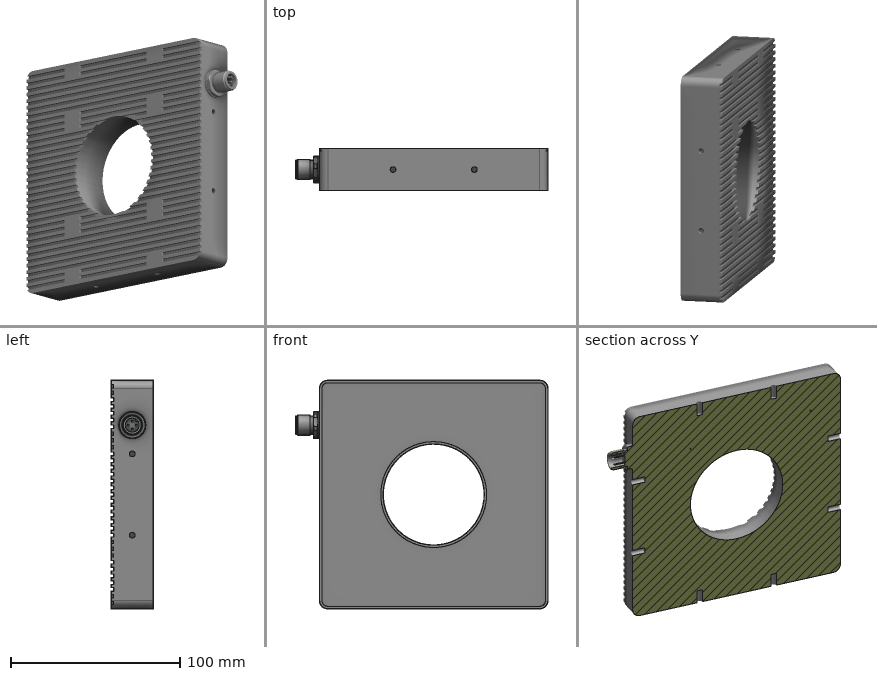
import cadquery as cq
import math

SIDE = 135.0
THICKNESS = 25.0
CORNER_RADIUS = 5.0
BORE_DIAMETER = 59.5

RIM_WIDTH = 1.5
PANEL_RECESS = 0.5

GROOVE_PITCH = 4.0
GROOVE_WIDTH = 2.0
GROOVE_DEPTH = 1.5
GROOVE_COUNT = 33

PAD_OFFSET = 32.0
PAD_SIZE = 12.0
EDGE_PAD_HEIGHT = 9.5

SIDE_HOLE_DIAMETER = 3.3
SIDE_HOLE_DEPTH = 8.0
SIDE_HOLE_SPACING = 48.0

CONNECTOR_Z = 41.0
CONNECTOR_LENGTH = 14.1
WASHER_DIAMETER = 16.0
WASHER_END = 0.9
NUT_END = 3.5
NUT_ACROSS_FLATS = 15.0
NUT_CHAMFER = 0.4
NUT_CORNER_ANGLE = -15.0
NECK_DIAMETER = 11.0
NECK_END = 5.6
THREAD_DIAMETER = 12.0
THREAD_END = CONNECTOR_LENGTH - 1.0
THREAD_CHAMFER = (THREAD_DIAMETER - NECK_DIAMETER) / 2

SOCKET_DIAMETER = 8.2
SOCKET_DEPTH = 9.0
TIP_CHAMFER = 0.2
PIN_COUNT = 4
PIN_DIAMETER = 1.0
PIN_LENGTH = 7.0
PIN_CIRCLE_RADIUS = 2.35
KEY_DIAMETER = 1.8
KEY_ANGLE = 45.0


def square_plate(side, corner_radius, y_start, depth):
    """Rounded square plate from y_start towards +Y."""
    plate = cq.Workplane("XZ", origin=(0, y_start, 0)).rect(side, side).extrude(-depth)
    return plate.edges("|Y").fillet(corner_radius)


def y_cylinder(diameter, y_start, depth):
    """Cylinder on the bore axis from y_start towards +Y."""
    return cq.Workplane("XZ", origin=(0, y_start, 0)).circle(diameter / 2).extrude(-depth)


def front_recess():
    """Shallow sheet cut from the front, leaving a rim at the outside and round the bore."""
    front = -THICKNESS / 2
    sheet = square_plate(SIDE - 2 * RIM_WIDTH, CORNER_RADIUS - RIM_WIDTH, front, PANEL_RECESS)
    return sheet.cut(y_cylinder(BORE_DIAMETER + 2 * RIM_WIDTH, front, PANEL_RECESS))


def back_grooves():
    """All cooling grooves, less the pads that interrupt them."""
    groove_y = (THICKNESS - GROOVE_DEPTH) / 2
    grooves = (
        cq.Workplane("XZ", origin=(0, groove_y, 0))
        .rarray(1, GROOVE_PITCH, 1, GROOVE_COUNT)
        .rect(SIDE, GROOVE_WIDTH)
        .extrude(GROOVE_DEPTH / 2, both=True)
    )
    edge_pad_z = (SIDE - EDGE_PAD_HEIGHT) / 2
    for x in (-PAD_OFFSET, PAD_OFFSET):
        for z_sign in (-1, 1):
            inner_pad = cq.Workplane().box(PAD_SIZE, GROOVE_DEPTH, PAD_SIZE)
            edge_pad = cq.Workplane().box(PAD_SIZE, GROOVE_DEPTH, EDGE_PAD_HEIGHT)
            grooves = grooves.cut(inner_pad.translate((x, groove_y, z_sign * PAD_OFFSET)))
            grooves = grooves.cut(edge_pad.translate((x, groove_y, z_sign * edge_pad_z)))
    return grooves


def side_holes():
    """Two blind holes in each of the four narrow sides."""
    pair = (
        cq.Workplane("XY", origin=(0, 0, SIDE / 2))
        .rarray(SIDE_HOLE_SPACING, 1, 2, 1)
        .circle(SIDE_HOLE_DIAMETER / 2)
        .extrude(-SIDE_HOLE_DEPTH)
    )
    holes = pair
    for angle in (90, 180, 270):
        holes = holes.union(pair.rotate((0, 0, 0), (0, 1, 0), angle))
    return holes


def housing():
    """Plate with bore, front recess, back grooves and side holes."""
    body = square_plate(SIDE, CORNER_RADIUS, -THICKNESS / 2, THICKNESS)
    body = body.cut(y_cylinder(BORE_DIAMETER, -THICKNESS / 2, THICKNESS))
    body = body.cut(front_recess())
    body = body.cut(back_grooves())
    return body.cut(side_holes())


def connector_plane(station):
    """Plane across the connector axis; local x points to -Y, the normal points outwards (-X)."""
    origin = (-SIDE / 2 - station, 0, CONNECTOR_Z)
    return cq.Workplane(cq.Plane(origin=origin, xDir=(0, -1, 0), normal=(-1, 0, 0)))


def disc(diameter, start, end):
    """Cylinder on the connector axis between two stations."""
    return connector_plane(start).circle(diameter / 2).extrude(end - start)


def lock_nut():
    """Hexagon nut whose corners are turned down to the washer diameter."""
    across_corners = NUT_ACROSS_FLATS / math.cos(math.pi / 6)
    thickness = NUT_END - WASHER_END
    hexagon = (
        connector_plane(WASHER_END)
        .transformed(rotate=(0, 0, NUT_CORNER_ANGLE))
        .polygon(6, across_corners)
        .extrude(thickness)
    )
    blank = disc(WASHER_DIAMETER, WASHER_END, NUT_END).edges().chamfer(NUT_CHAMFER)
    return hexagon.intersect(blank)


def socket_insert():
    """Contact pins and round coding key standing on the socket floor."""
    floor = CONNECTOR_LENGTH - SOCKET_DEPTH
    pins = (
        connector_plane(floor)
        .polarArray(PIN_CIRCLE_RADIUS, 0, 360, PIN_COUNT)
        .circle(PIN_DIAMETER / 2)
        .extrude(PIN_LENGTH)
    )
    key = (
        connector_plane(floor)
        .transformed(rotate=(0, 0, KEY_ANGLE))
        .center(SOCKET_DIAMETER / 2, 0)
        .circle(KEY_DIAMETER / 2)
        .extrude(PIN_LENGTH)
    )
    return pins.union(key)


def connector():
    """Round plug connector with washer, lock nut, thread and pin socket."""
    washer = disc(WASHER_DIAMETER, 0, WASHER_END)
    core = disc(NECK_DIAMETER, 0, CONNECTOR_LENGTH).faces("<X").chamfer(TIP_CHAMFER)
    thread = disc(THREAD_DIAMETER, NECK_END, THREAD_END).faces("<X").chamfer(THREAD_CHAMFER)
    socket = disc(SOCKET_DIAMETER, CONNECTOR_LENGTH - SOCKET_DEPTH, CONNECTOR_LENGTH)
    plug = core.union(washer).union(lock_nut()).union(thread).cut(socket)
    return plug.union(socket_insert())


result = housing().union(connector())